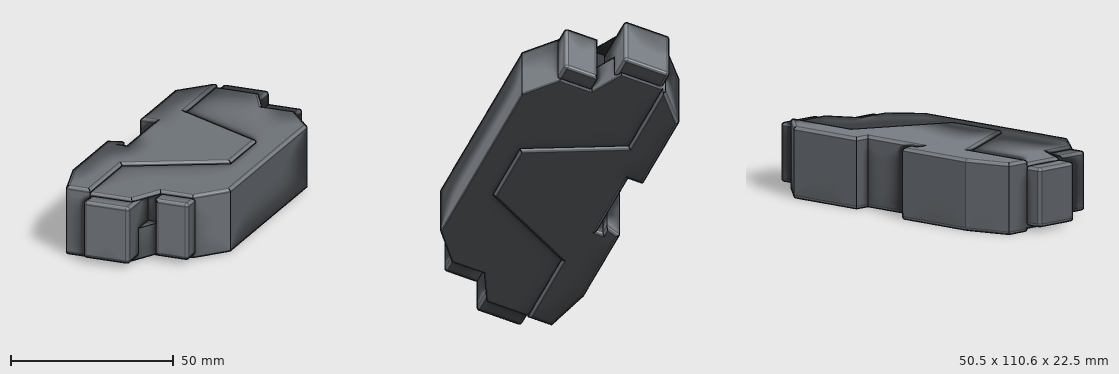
import cadquery as cq

LENGTH = 110.6
WIDTH = 50.5
HEIGHT = 22.5
EDGE_RADIUS = 1.0
UNDERSIDE_RADIUS = 0.3
COVER_DROP = EDGE_RADIUS
TERMINAL_DROP = 2 * EDGE_RADIUS

BODY_HALF_LENGTH = 49.9
TERMINAL_HALF_LENGTH = LENGTH / 2

SEAM_X = 12.1
UPPER_CLIP_X = 2.1
UPPER_CLIP_Y = (13.3, 40.0)
RAIL_X = 7.1
RAIL_FLOOR_Y = -9.7
HOOK_X = 5.1
HOOK_TIP_Y = -6.7
HOOK_HEEL_Y = -8.4
LOWER_CLIP_Y = -35.3
LOWER_CLIP_END_X = 4.1

PANEL_X = 42.0
PANEL_TIP_HALF = 10.1
PANEL_ROOT_HALF = 24.9

NECK_X = 26.0
SHOULDER_Y = 39.9
SHOULDER_X = (31.4, 42.2)
FLANK_HALF_LENGTH = 30.2

RECESS_Z = (HEIGHT / 2, HEIGHT - COVER_DROP - EDGE_RADIUS)

OUTER_TERMINAL_X = (SEAM_X, 27.2)
INNER_TERMINAL_X = (31.7, 42.7)
INNER_TERMINAL_HALF_LENGTH = 45.1


def slab(points, drop):
    """Extrude an outline, leaving `drop` free above and below it."""
    base = cq.Workplane("XY").workplane(offset=drop)
    return base.polyline(points).close().extrude(HEIGHT - 2 * drop)


def clip_outline():
    """Full-height block with the clip outline; its high-X end is squared off past the panel tip."""
    outline = [
        (PANEL_X + EDGE_RADIUS, BODY_HALF_LENGTH),
        (SEAM_X - EDGE_RADIUS, BODY_HALF_LENGTH),
        (UPPER_CLIP_X, UPPER_CLIP_Y[1]),
        (UPPER_CLIP_X, UPPER_CLIP_Y[0]),
        (RAIL_X, UPPER_CLIP_Y[0]),
        (RAIL_X, RAIL_FLOOR_Y),
        (HOOK_X, RAIL_FLOOR_Y),
        (HOOK_X, HOOK_TIP_Y),
        (0, HOOK_HEEL_Y),
        (0, LOWER_CLIP_Y),
        (LOWER_CLIP_END_X, -BODY_HALF_LENGTH),
        (PANEL_X + EDGE_RADIUS, -BODY_HALF_LENGTH),
    ]
    return slab(outline, 0).faces("<Z or >Z").edges("not >X").fillet(EDGE_RADIUS)


def seam_block():
    """Block ending in the rounded seam: straight, out around the panel, and straight again."""
    outline = [
        (0, LENGTH / 2),
        (SEAM_X, LENGTH / 2),
        (SEAM_X, PANEL_ROOT_HALF),
        (PANEL_X, PANEL_TIP_HALF),
        (PANEL_X, -PANEL_TIP_HALF),
        (SEAM_X, -PANEL_ROOT_HALF),
        (SEAM_X, -LENGTH / 2),
        (0, -LENGTH / 2),
    ]
    block = slab(outline, 0)
    return block.faces("<Z or >Z").edges("not(<X or <Y or >Y)").fillet(EDGE_RADIUS)


def cover_side():
    half_outline = [
        (SEAM_X - EDGE_RADIUS, BODY_HALF_LENGTH),
        (NECK_X, BODY_HALF_LENGTH),
        (SHOULDER_X[0], SHOULDER_Y),
        (SHOULDER_X[1], SHOULDER_Y),
        (WIDTH, FLANK_HALF_LENGTH),
    ]
    outline = half_outline + [(x, -y) for x, y in reversed(half_outline)]
    cover = slab(outline, COVER_DROP).faces(">Z").edges("not <X").fillet(EDGE_RADIUS)
    return cover.faces("<Z").edges("not <X").fillet(UNDERSIDE_RADIUS)


def neck_recess():
    """Space between the end face and the shoulder, to be cut out of the +Y sloped neck."""
    return (
        cq.Workplane("XY")
        .box(
            SHOULDER_X[0] - NECK_X,
            BODY_HALF_LENGTH - SHOULDER_Y,
            RECESS_Z[1] - RECESS_Z[0],
            centered=False,
        )
        .translate((NECK_X, SHOULDER_Y, RECESS_Z[0]))
    )


def terminal(x_range, half_length):
    """A bar along Y whose two ends stand out as terminals."""
    x_start, x_end = x_range
    bar = cq.Workplane("XY").box(
        x_end - x_start, 2 * half_length, HEIGHT - 2 * TERMINAL_DROP, centered=(False, True, False)
    )
    return bar.translate((x_start, 0, TERMINAL_DROP))


outer = terminal(OUTER_TERMINAL_X, TERMINAL_HALF_LENGTH).edges().fillet(EDGE_RADIUS)
inner = terminal(INNER_TERMINAL_X, INNER_TERMINAL_HALF_LENGTH)
inner = inner.faces("<Y or >Y or >X").edges().fillet(EDGE_RADIUS)

recess = neck_recess()
cover = cover_side().cut(recess).cut(recess.mirror("XZ"))
clip = clip_outline().intersect(seam_block())

result = clip.union(cover).union(outer).union(inner)